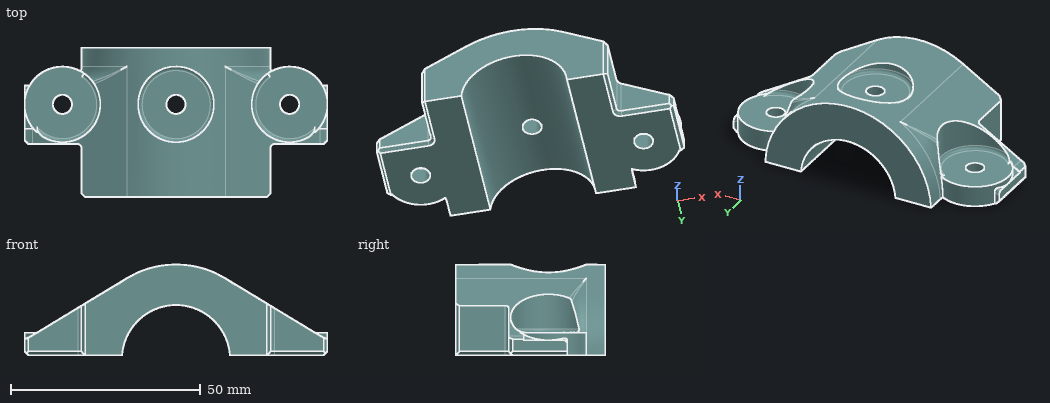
import cadquery as cq
import math

BAND_RADIUS = 25.0
BORE_RADIUS = 14.25
AXIS_Z = -1.0
BAND_BACK_Y = 15.0
FRONT_Y = -24.5

BODY_HALF_WIDTH = 25.0
EAR_END_X = 40.0
EAR_FRONT_Y = -10.5
EAR_BACK_Y = 5.0
SLOPE_FOOT_Z = 4.0
EAR_TIP_X = 38.0
EAR_TIP_Z = 4.3
EAR_TIP_BACK_Y = -6.5
EDGE = 1.0
BACK_FILLET = 5.0

SEAT_RADIUS = 10.0
SEAT_FILLET = 1.0
HOLE_DIAMETER = 5.0
PAD_X = 30.0
PAD_Z = 6.0
CROWN_SEAT_Z = 21.0
SEAM_ANGLE = 45.0

foot_height = SLOPE_FOOT_Z - AXIS_Z
foot_distance = math.hypot(EAR_END_X, foot_height)
tangent_angle = math.atan2(foot_height, EAR_END_X) + math.acos(BAND_RADIUS / foot_distance)
tangent_x = BAND_RADIUS * math.cos(tangent_angle)
tangent_z = AXIS_Z + BAND_RADIUS * math.sin(tangent_angle)
flank_slope = (tangent_z - SLOPE_FOOT_Z) / (EAR_END_X - tangent_x)
ear_tip_start_z = SLOPE_FOOT_Z + flank_slope * (EAR_END_X - EAR_TIP_X)

CROWN_Z = AXIS_Z + BAND_RADIUS
TALL = 2 * CROWN_Z
FILLET_END_Y = EAR_BACK_Y + BACK_FILLET


def half_flank_prism(front_y, back_y):
    """The +X half of the solid under the crown arc and the flank."""
    crown_angle = (tangent_angle + math.pi / 2) / 2
    crown_middle = (BAND_RADIUS * math.cos(crown_angle), AXIS_Z + BAND_RADIUS * math.sin(crown_angle))
    return (
        cq.Workplane("XZ", origin=(0, back_y, 0))
        .lineTo(0, CROWN_Z)
        .threePointArc(crown_middle, (tangent_x, tangent_z))
        .lineTo(EAR_END_X, SLOPE_FOOT_Z)
        .lineTo(EAR_END_X, 0)
        .close()
        .extrude(back_y - front_y)
    )


def flank_prism(front_y, back_y):
    """Solid under the crown arc and both flanks, between two Y positions."""
    half = half_flank_prism(front_y, back_y)
    return half.union(half.mirror("YZ")).clean()


def ear_tips():
    """Front corners of the ears, where the flank flattens out towards the ear end."""
    tip = (
        cq.Workplane("XZ", origin=(0, EAR_TIP_BACK_Y, 0))
        .moveTo(EAR_END_X, 0)
        .lineTo(tangent_x, 0)
        .lineTo(tangent_x, tangent_z)
        .lineTo(EAR_TIP_X, ear_tip_start_z)
        .tangentArcPoint((EAR_END_X, EAR_TIP_Z), relative=False)
        .close()
        .extrude(EAR_TIP_BACK_Y - EAR_FRONT_Y)
    )
    return tip.union(tip.mirror("YZ"))


def plan_block(half_width, front_y):
    """Tall block centred on X that ends at the back of the ears."""
    depth = EAR_BACK_Y - front_y
    block = cq.Workplane("XY").box(2 * half_width, depth, TALL, centered=(True, False, False))
    return block.translate((0, front_y, 0))


def corner_cutter(x, y):
    """Upright square bar, turned by 45 degrees, that takes the edge off a plan corner."""
    side = EDGE * math.sqrt(2)
    bar = cq.Workplane("XY").box(side, side, TALL * 2)
    return bar.rotate((0, 0, 0), (0, 0, 1), 45).translate((x, y, 0))


def plan_prism():
    """T-shaped plan of body and ears, chamfered below, with its upright corners broken."""
    plan = plan_block(BODY_HALF_WIDTH, FRONT_Y).union(plan_block(EAR_END_X, EAR_FRONT_Y)).clean()
    for side in (-1, 1):
        inner_corner = (side * BODY_HALF_WIDTH, EAR_FRONT_Y, TALL / 2)
        plan = plan.edges(cq.NearestToPointSelector(inner_corner)).fillet(EDGE)
    plan = plan.faces("<Z").edges("not(<Y or >Y)").chamfer(EDGE)
    for side in (-1, 1):
        plan = plan.cut(corner_cutter(side * EAR_END_X, EAR_FRONT_Y))
        plan = plan.cut(corner_cutter(side * BODY_HALF_WIDTH, FRONT_Y))
    return plan


def back_blend():
    """Fillet ring between the band and the back face of the flanks, trimmed by the flanks."""
    outer = BAND_RADIUS + BACK_FILLET
    bend = BACK_FILLET * (1 - math.sqrt(0.5))
    ring = (
        cq.Workplane("XY")
        .lineTo(outer, 0)
        .lineTo(outer, EAR_BACK_Y)
        .threePointArc((BAND_RADIUS + bend, EAR_BACK_Y + bend), (BAND_RADIUS, FILLET_END_Y))
        .lineTo(0, FILLET_END_Y)
        .close()
        .revolve(360, (0, 0), (0, 1))
        .translate((0, 0, AXIS_Z))
    )
    return ring.intersect(flank_prism(0, FILLET_END_Y))


def band():
    """Half disc behind the flanks; the bore later opens it into a ring."""
    disc = cq.Workplane("XZ", origin=(0, BAND_BACK_Y, AXIS_Z)).circle(BAND_RADIUS).extrude(BAND_BACK_Y)
    above_face = cq.Workplane("XY").box(TALL * 2, TALL * 2, TALL, centered=(True, True, False))
    return disc.intersect(above_face)


def round_back_edges(body):
    """Round the sharp edges between the flanks and the blend behind them."""
    blend_edges = []
    for edge in body.edges().vals():
        box = edge.BoundingBox()
        if edge.geomType() == "BSPLINE" and box.zmin > ear_tip_start_z:
            blend_edges.append(edge)
    return body.newObject(blend_edges).fillet(EDGE)


def seat_cutter(x, floor_z):
    """Round seat with a filleted floor; its seam is turned away from the X axis for a clean cut."""
    frame = cq.Workplane("XY").transformed(offset=(x, 0, floor_z), rotate=(0, 0, SEAM_ANGLE))
    cutter = frame.circle(SEAT_RADIUS).extrude(TALL)
    return cutter.faces("<Z").edges().fillet(SEAT_FILLET)


def pad(x):
    """Round pad under an ear seat, cleared by the chamfers below the ear."""
    disc = cq.Workplane("XY", origin=(x, 0, 0)).circle(SEAT_RADIUS).extrude(PAD_Z)
    rim = plan_block(EAR_END_X, EAR_FRONT_Y)
    chamfered_rim = rim.faces("<Z").edges("<Y or <X or >X").chamfer(EDGE)
    return disc.cut(rim.cut(chamfered_rim))


def screw_hole(x):
    return cq.Workplane("XY", origin=(x, 0, 0)).circle(HOLE_DIAMETER / 2).extrude(TALL)


def bore():
    start = cq.Workplane("XZ", origin=(0, BAND_BACK_Y, AXIS_Z))
    return start.circle(BORE_RADIUS).extrude(BAND_BACK_Y - FRONT_Y)


flanks = flank_prism(FRONT_Y, EAR_BACK_Y).union(ear_tips()).intersect(plan_prism())
body = round_back_edges(flanks.union(back_blend()).union(band()).clean())
for pad_x in (-PAD_X, PAD_X):
    body = body.union(pad(pad_x)).cut(seat_cutter(pad_x, PAD_Z)).cut(screw_hole(pad_x))
body = body.cut(seat_cutter(0, CROWN_SEAT_Z)).cut(screw_hole(0))

result = body.cut(bore())